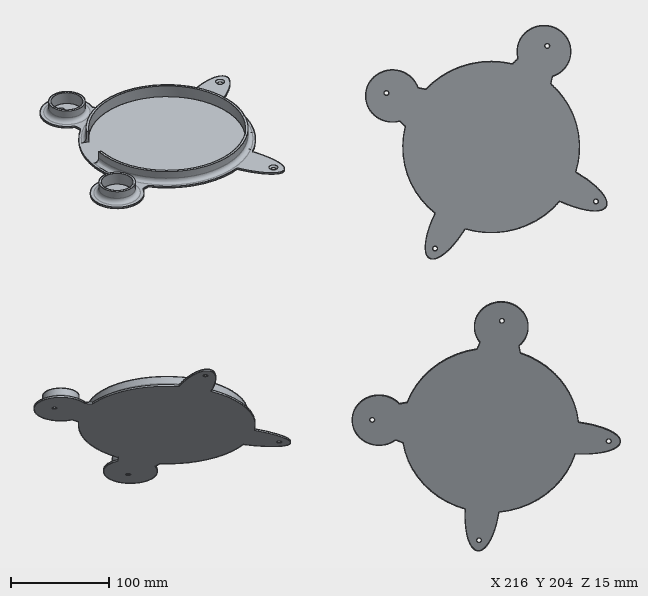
import cadquery as cq
import math

overall_width = 216.0
plate_thickness = 2.0
total_height = 15.0
foot_fillet = 5.0

disc_radius = 90.0
tray_inner_radius = 80.0
tray_outer_radius = 82.5
gap_width = 40.0

cup_offset = 80.5
cup_inner_radius = 32.5 / 2
cup_outer_radius = 37.4 / 2
cup_base_radius = overall_width / 2 - cup_offset

web_start = 75.5
web_end = 101.5
web_start_half_width = 25.7
web_end_half_width = 18.0

ear_center = 82.0
ear_half_length = 50.8
ear_half_width = 17.5

hole_offset = 85.5
hole_bottom_diameter = 4.8
hole_top_diameter = 9.0

cup_centers = [(-cup_offset, -cup_offset), (cup_offset, -cup_offset)]


def flared_wall(inner_radius, outer_radius):
    """Round wall standing on the plate, with a concave flare around its foot."""
    flare_top = plate_thickness + foot_fillet
    flare_radius = outer_radius + foot_fillet
    arc_reach = foot_fillet * (1 - math.sqrt(0.5))
    return (
        cq.Workplane("XZ")
        .moveTo(inner_radius, 0)
        .lineTo(flare_radius, 0)
        .lineTo(flare_radius, plate_thickness)
        .threePointArc(
            (outer_radius + arc_reach, plate_thickness + arc_reach),
            (outer_radius, flare_top),
        )
        .lineTo(outer_radius, total_height)
        .lineTo(inner_radius, total_height)
        .close()
        .revolve(360, (0, 0), (0, 1))
    )


def ear(angle):
    """Elliptical mounting ear whose long axis lies along the given direction."""
    return (
        cq.Workplane("XY")
        .center(ear_center, 0)
        .ellipse(ear_half_length, ear_half_width)
        .extrude(plate_thickness)
        .rotate((0, 0, 0), (0, 0, 1), angle)
    )


def web(angle):
    """Tapered web between the disc and a cup base."""
    return (
        cq.Workplane("XY")
        .polyline([
            (web_start, -web_start_half_width),
            (web_end, -web_end_half_width),
            (web_end, web_end_half_width),
            (web_start, web_start_half_width),
        ])
        .close()
        .extrude(plate_thickness)
        .rotate((0, 0, 0), (0, 0, 1), angle)
    )


plate = cq.Workplane("XY").circle(disc_radius).extrude(plate_thickness)
for ear_angle in (45, 135):
    plate = plate.union(ear(ear_angle))
for web_angle in (225, 315):
    plate = plate.union(web(web_angle))
cup_bases = cq.Workplane("XY").pushPoints(cup_centers).circle(cup_base_radius).extrude(plate_thickness)
plate = plate.union(cup_bases)

gap = (
    cq.Workplane("XY")
    .workplane(offset=plate_thickness)
    .center(0, -disc_radius / 2)
    .rect(gap_width, disc_radius)
    .extrude(total_height)
)
result = plate.union(flared_wall(tray_inner_radius, tray_outer_radius).cut(gap))

for x, y in cup_centers:
    result = result.union(flared_wall(cup_inner_radius, cup_outer_radius).translate((x, y, 0)))

hole_cutter = cq.Workplane(
    cq.Solid.makeCone(hole_bottom_diameter / 2, hole_top_diameter / 2, plate_thickness)
)
for x in (-hole_offset, hole_offset):
    for y in (-hole_offset, hole_offset):
        result = result.cut(hole_cutter.translate((x, y, 0)))